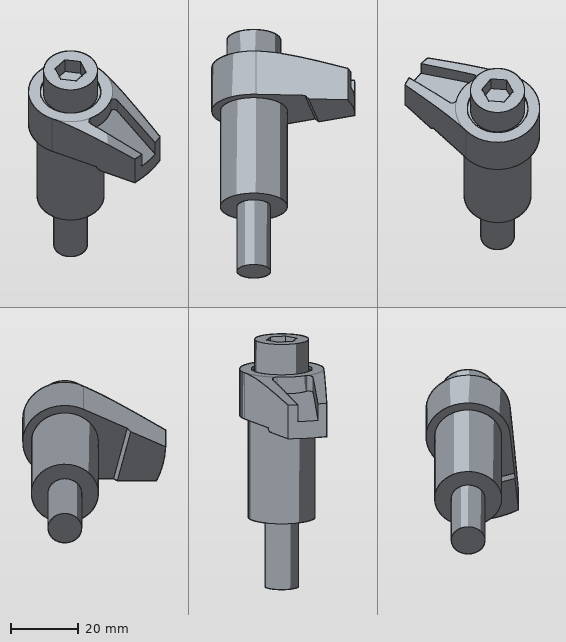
import cadquery as cq
import math

TOTAL_HEIGHT = 75.0
POST_BOTTOM = 21.0
COLLAR_HEIGHT = 14.0
HEAD_PROTRUSION = 9.0
HEAD_HEIGHT = 10.0
COLLAR_TOP = TOTAL_HEIGHT - HEAD_PROTRUSION
COLLAR_BOTTOM = COLLAR_TOP - COLLAR_HEIGHT
HEAD_BOTTOM = TOTAL_HEIGHT - HEAD_HEIGHT

COLLAR_RADIUS = 12.5
POST_RADIUS = 10.0
SHANK_RADIUS = 5.0
HEAD_RADIUS = 8.0
COUNTERBORE_RADIUS = 9.0

HEX_ACROSS_FLATS = 8.0
HEX_DEPTH = 5.0

ARM_RADIUS = 30.0
ARM_TAPER = math.radians(13.2)
ARM_TOP_DROP = 4.95
FOOT_START_X = 16.95
FOOT_DROP = 1.1

POCKET_DEPTH = 5.0
POCKET_START_HALF_WIDTH = 6.6
POCKET_END_HALF_WIDTH = 3.1
POCKET_CORNER_RADIUS = 1.1


def cylinder(radius, bottom, top):
    return cq.Workplane("XY").workplane(offset=bottom).circle(radius).extrude(top - bottom)


def revolved(points):
    """Sweep a radius-height outline fully about the Z axis."""
    return cq.Workplane("XZ").polyline(points).close().revolve(360, (0, 0, 0), (0, 1, 0))


def prism(points):
    """Extrude a plan outline through the full height of the part."""
    return cq.Workplane("XY").polyline(points).close().extrude(TOTAL_HEIGHT)


def side_prism(points):
    """Extrude an X-Z outline symmetrically through the full width of the part."""
    return cq.Workplane("XZ").polyline(points).close().extrude(COLLAR_RADIUS, both=True)


def make_arm():
    foot_bottom = COLLAR_BOTTOM - FOOT_DROP
    disc = revolved([
        (0, COLLAR_TOP),
        (COLLAR_RADIUS, COLLAR_TOP),
        (ARM_RADIUS, COLLAR_TOP - ARM_TOP_DROP),
        (ARM_RADIUS, foot_bottom),
        (0, foot_bottom),
    ])
    relief = side_prism([
        (0, foot_bottom),
        (FOOT_START_X + FOOT_DROP, foot_bottom),
        (FOOT_START_X, COLLAR_BOTTOM),
        (0, COLLAR_BOTTOM),
    ])
    tangent_x = COLLAR_RADIUS * math.sin(ARM_TAPER)
    tangent_y = COLLAR_RADIUS * math.cos(ARM_TAPER)
    end_y = tangent_y - (ARM_RADIUS - tangent_x) * math.tan(ARM_TAPER)
    taper = prism([
        (tangent_x, tangent_y),
        (ARM_RADIUS, end_y),
        (ARM_RADIUS, -end_y),
        (tangent_x, -tangent_y),
    ])
    return disc.intersect(taper).cut(relief)


def make_pocket():
    """Tapered pocket with a flat floor, sloped like the top of the arm."""
    start_x = math.sqrt(COLLAR_RADIUS**2 - POCKET_START_HALF_WIDTH**2)
    outline = prism([
        (start_x, POCKET_START_HALF_WIDTH),
        (ARM_RADIUS, POCKET_END_HALF_WIDTH),
        (ARM_RADIUS, -POCKET_END_HALF_WIDTH),
        (start_x, -POCKET_START_HALF_WIDTH),
    ])
    slope = ARM_TOP_DROP / (ARM_RADIUS - COLLAR_RADIUS)
    space_above_floor = side_prism([
        (0, COLLAR_TOP),
        (ARM_RADIUS, COLLAR_TOP),
        (ARM_RADIUS, COLLAR_TOP - ARM_TOP_DROP - POCKET_DEPTH),
        (0, COLLAR_TOP - POCKET_DEPTH + COLLAR_RADIUS * slope),
    ])
    rounded_outline = outline.cut(cylinder(COLLAR_RADIUS, 0, TOTAL_HEIGHT))
    rounded_outline = rounded_outline.edges("|Z and (<Y or >Y)").fillet(POCKET_CORNER_RADIUS)
    return rounded_outline.intersect(space_above_floor)


def make_clamp():
    post = cylinder(POST_RADIUS, POST_BOTTOM, COLLAR_BOTTOM)
    collar = cylinder(COLLAR_RADIUS, COLLAR_BOTTOM, COLLAR_TOP)
    bore = cylinder(SHANK_RADIUS, POST_BOTTOM, COLLAR_TOP)
    counterbore = cylinder(COUNTERBORE_RADIUS, HEAD_BOTTOM, COLLAR_TOP)
    arm = make_arm().cut(make_pocket())
    return post.union(collar).union(arm).cut(bore).cut(counterbore)


def make_screw():
    shank = cylinder(SHANK_RADIUS, 0, HEAD_BOTTOM)
    head = cylinder(HEAD_RADIUS, HEAD_BOTTOM, TOTAL_HEIGHT)
    hex_diameter = HEX_ACROSS_FLATS / math.cos(math.pi / 6)
    socket = (
        cq.Workplane("XY")
        .workplane(offset=TOTAL_HEIGHT - HEX_DEPTH)
        .transformed(rotate=(0, 0, 30))
        .polygon(6, hex_diameter)
        .extrude(HEX_DEPTH)
    )
    return shank.union(head).cut(socket)


clamp = make_clamp()
screw = make_screw()
result = cq.Compound.makeCompound([clamp.val(), screw.val()])